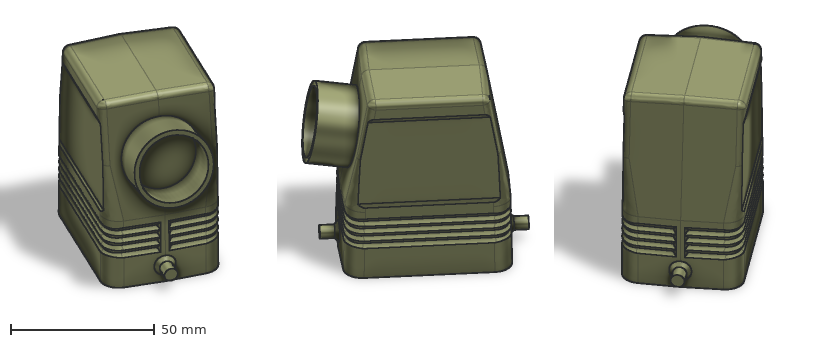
import cadquery as cq
import math

BASE_HALF_LENGTH = 30.1
WAIST_HALF_LENGTH = 29.5
WIDTH = 43.0
HEIGHT = 72.0
WAIST_Z = 27.0
TAPER_ANGLE = 10
CROWN_ANGLE = 1.8
BASE_CORNER_RADIUS = 6.7
TOP_CORNER_RADIUS = 2.85
CORNER_BLEND_Z = 48.15
ROOF_FILLET = 2.8

GROOVE_BOTTOM_Z = 12.1
GROOVE_TOP_Z = 24.15
GROOVE_COUNT = 4
GROOVE_DEPTH = 1.1
GROOVE_CORNER_RADIUS = 6.1
RIB_HALF_WIDTH = 1.5

PANEL_BOTTOM_Z = 28.65
PANEL_TOP_Z = 64.65
PANEL_DEPTH = 0.55
PANEL_BEVEL = 1.4

TUBE_DIAMETER = 29.0
BORE_DIAMETER = 25.3
TUBE_LENGTH = 14.5
TUBE_END_X = 42.4
TUBE_MOUTH_Z = 51.7

PIN_DIAMETER = 4.9
PIN_TIP_X = 36.55
PIN_Z = 6.5
PIN_FOOT_DIAMETER = 8.05
PIN_FOOT_X = 31.35

TAPER = math.tan(math.radians(TAPER_ANGLE))
CROWN = math.tan(math.radians(CROWN_ANGLE))
HALF_WIDTH = WIDTH / 2


def half_length(z):
    """Half length of the body on the mid plane at height z."""
    if z <= WAIST_Z:
        return BASE_HALF_LENGTH + (WAIST_HALF_LENGTH - BASE_HALF_LENGTH) * z / WAIST_Z
    return WAIST_HALF_LENGTH - (z - WAIST_Z) * TAPER


def body_outline(z, corner_radius, inset=0.0):
    """Rounded rectangle with crowned ends, at height z and shrunk by inset."""
    end_x = half_length(z) - inset
    side_y = HALF_WIDTH - inset
    radius = corner_radius - inset
    crown = math.radians(CROWN_ANGLE)
    center_y = side_y - radius
    center_x = end_x - center_y * CROWN - radius / math.cos(crown)
    middle = (math.pi / 2 + crown) / 2

    def arc_point(angle):
        return (center_x + radius * math.cos(angle), center_y + radius * math.sin(angle))

    def mirrored(point, sign_x, sign_y):
        return (point[0] * sign_x, point[1] * sign_y)

    start, mid, end = arc_point(crown), arc_point(middle), arc_point(math.pi / 2)
    return (
        cq.Workplane("XY", origin=(0, 0, z))
        .moveTo(end_x, 0)
        .lineTo(*start)
        .threePointArc(mid, end)
        .lineTo(*mirrored(end, -1, 1))
        .threePointArc(mirrored(mid, -1, 1), mirrored(start, -1, 1))
        .lineTo(-end_x, 0)
        .lineTo(*mirrored(start, -1, -1))
        .threePointArc(mirrored(mid, -1, -1), mirrored(end, -1, -1))
        .lineTo(*mirrored(end, 1, -1))
        .threePointArc(mirrored(mid, 1, -1), mirrored(start, 1, -1))
        .close()
        .val()
    )


def ruled_loft(outlines):
    return cq.Workplane(cq.Solid.makeLoft(outlines, True))


def upper_body():
    """Tapered part above the waist, with its crowned roof and rounded roof edges."""
    block = ruled_loft([
        body_outline(WAIST_Z, BASE_CORNER_RADIUS),
        body_outline(CORNER_BLEND_Z, TOP_CORNER_RADIUS),
        body_outline(HEIGHT, TOP_CORNER_RADIUS),
    ])
    eaves_z = HEIGHT - HALF_WIDTH * CROWN
    under_roof = (
        cq.Workplane("YZ")
        .polyline([
            (-HALF_WIDTH, 0),
            (HALF_WIDTH, 0),
            (HALF_WIDTH, eaves_z),
            (0, HEIGHT),
            (-HALF_WIDTH, eaves_z),
        ])
        .close()
        .extrude(BASE_HALF_LENGTH, both=True)
    )
    block = block.intersect(under_roof)
    roof_rim = cq.selectors.BoxSelector(
        (-BASE_HALF_LENGTH, -HALF_WIDTH - 0.8, eaves_z - 0.8),
        (BASE_HALF_LENGTH, HALF_WIDTH + 0.8, HEIGHT + 0.8),
    )
    ridge = cq.selectors.BoxSelector((-0.8, -0.8, HEIGHT - 0.8), (0.8, 0.8, HEIGHT + 0.8))
    return block.edges(roof_rim - ridge).fillet(ROOF_FILLET)


def plain_base():
    """Slightly drafted lower part, up to the waist."""
    return ruled_loft([
        body_outline(0, BASE_CORNER_RADIUS),
        body_outline(WAIST_Z, BASE_CORNER_RADIUS),
    ])


def grip_grooves():
    """Material removed for the V grooves, which run shallower around the corners."""
    pitch = (GROOVE_TOP_Z - GROOVE_BOTTOM_Z) / GROOVE_COUNT
    outlines = [body_outline(GROOVE_BOTTOM_Z, GROOVE_CORNER_RADIUS)]
    for index in range(GROOVE_COUNT):
        valley_z = GROOVE_BOTTOM_Z + (index + 0.5) * pitch
        ridge_z = valley_z + pitch / 2
        is_last = index == GROOVE_COUNT - 1
        ridge_radius = GROOVE_CORNER_RADIUS if is_last else BASE_CORNER_RADIUS
        outlines.append(body_outline(valley_z, GROOVE_CORNER_RADIUS, GROOVE_DEPTH))
        outlines.append(body_outline(ridge_z, ridge_radius))
    band = (
        cq.Workplane("XY", origin=(0, 0, GROOVE_BOTTOM_Z))
        .rect(3 * BASE_HALF_LENGTH, 3 * HALF_WIDTH)
        .extrude(GROOVE_TOP_Z - GROOVE_BOTTOM_Z)
    )
    return band.cut(ruled_loft(outlines))


def end_ribs():
    """Strips that interrupt the grooves on both end walls, with 45 degree flanks."""
    flank_depth = 2 * GROOVE_DEPTH
    foot_half_width = RIB_HALF_WIDTH + flank_depth

    def rib_outline(z):
        end_x = half_length(z)
        edge_x = end_x - RIB_HALF_WIDTH * CROWN
        foot_x = edge_x - flank_depth
        return (
            cq.Workplane("XY", origin=(0, 0, z))
            .polyline([
                (foot_x, -foot_half_width),
                (edge_x, -RIB_HALF_WIDTH),
                (end_x, 0),
                (edge_x, RIB_HALF_WIDTH),
                (foot_x, foot_half_width),
            ])
            .close()
            .val()
        )

    rib = ruled_loft([rib_outline(GROOVE_BOTTOM_Z), rib_outline(GROOVE_TOP_Z)])
    return rib.union(rib.mirror("YZ"))


def side_panels():
    """Material removed to sink a flat panel into each long side."""
    panel_y = HALF_WIDTH - PANEL_DEPTH
    panel = (
        cq.Workplane("YZ")
        .polyline([
            (HALF_WIDTH, PANEL_BOTTOM_Z),
            (panel_y, PANEL_BOTTOM_Z + PANEL_BEVEL),
            (panel_y, PANEL_TOP_Z - PANEL_BEVEL),
            (HALF_WIDTH, PANEL_TOP_Z),
        ])
        .close()
        .extrude(BASE_HALF_LENGTH, both=True)
    )
    return panel.union(panel.mirror("XZ"))


def tube_mouth_plane():
    """Plane of the tube's mouth, facing out square to the leaning end wall."""
    lean = math.radians(TAPER_ANGLE)
    mouth_x = TUBE_END_X - TUBE_DIAMETER / 2 * math.sin(lean)
    return cq.Plane(
        origin=(mouth_x, 0, TUBE_MOUTH_Z),
        xDir=(-math.sin(lean), 0, math.cos(lean)),
        normal=(math.cos(lean), 0, math.sin(lean)),
    )


def tube():
    """Cable entry tube, started inside the body so that it meets the crowned wall all round."""
    root_overlap = ROOF_FILLET
    return cq.Workplane(tube_mouth_plane()).circle(TUBE_DIAMETER / 2).extrude(-(TUBE_LENGTH + root_overlap))


def tube_bore():
    """Blind bore from the mouth down to the end wall."""
    return cq.Workplane(tube_mouth_plane()).circle(BORE_DIAMETER / 2).extrude(-TUBE_LENGTH)


def locking_pins():
    """Round pins on both end walls, each on a 45 degree conical foot."""
    pin_radius = PIN_DIAMETER / 2
    foot_radius = PIN_FOOT_DIAMETER / 2
    wall_x = PIN_FOOT_X - (foot_radius - pin_radius)
    root_x = wall_x - pin_radius
    pin = (
        cq.Workplane("XY")
        .polyline([
            (root_x, 0),
            (PIN_TIP_X, 0),
            (PIN_TIP_X, pin_radius),
            (PIN_FOOT_X, pin_radius),
            (wall_x, foot_radius),
            (root_x, foot_radius),
        ])
        .close()
        .revolve(360, (0, 0, 0), (1, 0, 0))
        .translate((0, 0, PIN_Z))
    )
    return pin.union(pin.mirror("YZ"))


base = plain_base().cut(grip_grooves()).union(end_ribs())
body = base.union(upper_body()).cut(side_panels())
result = body.union(locking_pins()).union(tube()).cut(tube_bore())